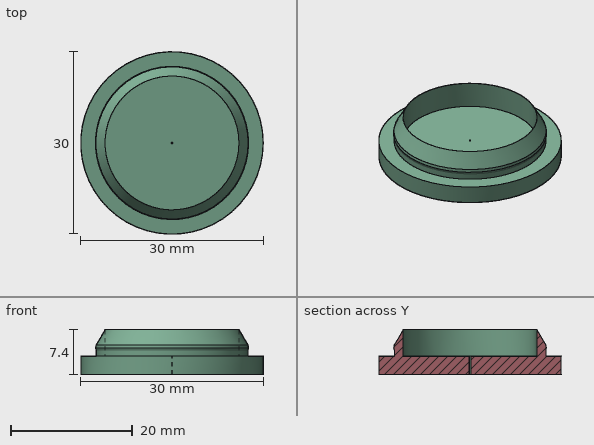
import cadquery as cq

flange_diameter = 30.0
flange_height = 3.0
neck_diameter = 25.0
bead_diameter = 25.17
bore_diameter = 22.0
vent_diameter = 0.2
total_height = 7.4

bead_start_height = 4.02
bead_crest_height = 4.38
taper_start_height = 4.85

flange_radius = flange_diameter / 2
neck_radius = neck_diameter / 2
bead_radius = bead_diameter / 2
bore_radius = bore_diameter / 2
vent_radius = vent_diameter / 2


def make_cap():
    """Revolve the flange, snap bead and tapered rim, leaving a flat floor and a central vent."""
    return (
        cq.Workplane("XZ")
        .moveTo(vent_radius, 0)
        .lineTo(flange_radius, 0)
        .lineTo(flange_radius, flange_height)
        .lineTo(neck_radius, flange_height)
        .lineTo(neck_radius, bead_start_height)
        .lineTo(bead_radius, bead_crest_height)
        .lineTo(neck_radius, taper_start_height)
        .lineTo(bore_radius, total_height)
        .lineTo(bore_radius, flange_height)
        .lineTo(vent_radius, flange_height)
        .close()
        .revolve(360, (0, 0, 0), (0, 1, 0))
    )


result = make_cap()